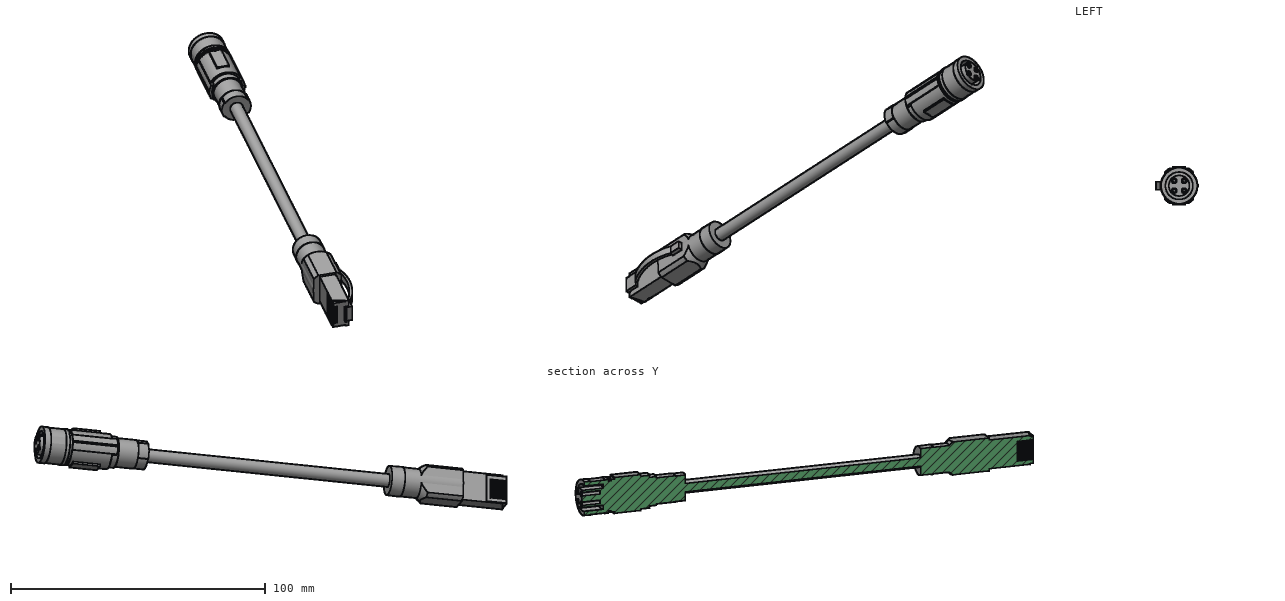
import cadquery as cq
import math

TOTAL_LENGTH = 193.0

NOSE_RADIUS = 4.05
PIN_HOLE_RADIUS = 0.6
PIN_MOUTH_RADIUS = 1.0
PIN_MOUTH_DEPTH = 0.5
PIN_CIRCLE_RADIUS = 2.75
PIN_HOLE_DEPTH = 8.0
PIN_COUNT = 4
KEYWAY_RADIUS = 0.6
KEYWAY_LENGTH = 8.0
COLLAR_START = 1.2
COLLAR_END = 11.5
COLLAR_RADIUS = 7.2
COLLAR_WAIST_RADIUS = 7.05
COLLAR_WAIST_START = 3.7
COLLAR_WAIST_END = 10.0
COLLAR_BORE_RADIUS = 5.4
COLLAR_BORE_DEPTH = 8.0
MARKER_HALF_WIDTH = 1.45
NECK_RADIUS = 6.5
SLEEVE_START = 12.6
SLEEVE_END = 29.0
SLEEVE_RADIUS = 7.0
SHOULDER_END = 31.8
SHOULDER_RADIUS = 6.2
TAIL_GRIP_START = 39.9
TAIL_END = 44.1
TAIL_RADIUS = 5.72
TAIL_END_RADIUS = 5.6
GRIP_RADIUS = 7.25
GRIP_END = 30.9
GRIP_HALF_WIDTH = 3.2
TAIL_GRIP_RADIUS = 5.95
SPINE_HALF_WIDTH = 0.3
SPINE_REACH = 7.5
LABEL_START = 14.0
LABEL_LENGTH = 11.2
LABEL_WIDTH = 4.9
LABEL_REACH = 14.79 / 2

CABLE_RADIUS = 2.6
BOOT_START = 143.8
BOOT_FLARE_END = 149.1
BOOT_FLARE_RADIUS = 5.95
BOOT_NECK_RADIUS = 5.8
HOOD_START = 155.8
HOOD_CONE_LENGTH = 2.6
HOOD_END = 173.0
HOOD_CORNER_RADIUS = 7.75
HOOD_HALF_DEPTH = 5.58
HOOD_HALF_HEIGHT = 6.8

PLUG_END = 191.6
PLUG_HALF_HEIGHT = 5.95
PLUG_FRONT_Y = -3.1
PLUG_BACK_Y = 3.4
FACE_RECESS_START = 183.3
FACE_RECESS_HALF_HEIGHT = 5.5
FACE_RECESS_DEPTH = 0.3
CONTACT_COUNT = 8
CONTACT_PITCH = 1.02
CONTACT_SLOT_WIDTH = 0.6
CONTACT_SLOT_START = 184.9
CONTACT_SLOT_DEPTH = 1.5
SIDE_STEP_DEPTH = 0.3
SIDE_STEP_FRONT_X = 189.9
SIDE_STEP_BACK_X = 191.2
SIDE_STEP_BACK_Y = 1.9

LATCH_WIDTH = 3.3
LATCH_HEAD_START = 186.8
LATCH_HEAD_END = 192.3
LATCH_HEAD_BACK_Y = 4.6
LATCH_TIP_WIDTH = 6.5
LATCH_TIP_FRONT_Y = 1.6
LATCH_TIP_BACK_Y = 2.2
ANCHOR_START = 159.5
ANCHOR_END = 164.6
ANCHOR_REACH = 7.4
STRAP_THICKNESS = 1.2
STRAP_PEAK_X = 173.5
STRAP_PEAK_Y = 9.2
STRAP_ROOT_X = 164.0
STRAP_TIP_X = 187.2


def cylinder(start, end, radius):
    return cq.Workplane("YZ", origin=(start, 0, 0)).circle(radius).extrude(end - start)


def block(x_range, y_range, z_range):
    sizes = [high - low for low, high in (x_range, y_range, z_range)]
    corner = (x_range[0], y_range[0], z_range[0])
    return cq.Workplane("XY", origin=corner).box(*sizes, centered=False)


def mid_block(x_range, y_range, width):
    """Block centred on the z = 0 plane."""
    return block(x_range, y_range, (-width / 2, width / 2))


def side_grips(start, end, radius, half_width):
    """Two raised cylindrical strips on the +Y and -Y sides."""
    band = mid_block((start, end), (-radius, radius), 2 * half_width)
    return cylinder(start, end, radius).intersect(band)


def make_collar():
    collar = cylinder(COLLAR_START, COLLAR_WAIST_START, COLLAR_RADIUS)
    collar = collar.union(cylinder(COLLAR_WAIST_START, COLLAR_WAIST_END, COLLAR_WAIST_RADIUS))
    collar = collar.union(cylinder(COLLAR_WAIST_END, COLLAR_END, COLLAR_RADIUS))
    bore = cylinder(COLLAR_START, COLLAR_START + COLLAR_BORE_DEPTH, COLLAR_BORE_RADIUS)
    marker_y = -math.sqrt(COLLAR_WAIST_RADIUS**2 - MARKER_HALF_WIDTH**2)
    marker = mid_block(
        (COLLAR_WAIST_START, COLLAR_WAIST_END), (-COLLAR_WAIST_RADIUS, marker_y), 2 * MARKER_HALF_WIDTH
    )
    return collar.cut(bore).cut(marker)


def pin_holes(radius, depth):
    """Four holes on the pin circle, sunk from the nose face at x = 0."""
    pattern = cq.Workplane("YZ").polarArray(PIN_CIRCLE_RADIUS, 45, 360, PIN_COUNT)
    return pattern.circle(radius).extrude(depth)


def make_nose():
    nose = cylinder(0, COLLAR_END, NOSE_RADIUS)
    nose = nose.cut(pin_holes(PIN_HOLE_RADIUS, PIN_HOLE_DEPTH))
    nose = nose.cut(pin_holes(PIN_MOUTH_RADIUS, PIN_MOUTH_DEPTH))
    keyway_offset = NOSE_RADIUS * math.sqrt(0.5)
    keyway = (
        cq.Workplane("YZ")
        .center(-keyway_offset, keyway_offset)
        .circle(KEYWAY_RADIUS)
        .extrude(KEYWAY_LENGTH)
    )
    return nose.cut(keyway)


def make_sleeve():
    sleeve = cylinder(COLLAR_END, SLEEVE_START, NECK_RADIUS)
    sleeve = sleeve.union(cylinder(SLEEVE_START, SLEEVE_END, SLEEVE_RADIUS))
    sleeve = sleeve.union(cylinder(SLEEVE_END, SHOULDER_END, SHOULDER_RADIUS))
    sleeve = sleeve.union(cylinder(SHOULDER_END, TAIL_GRIP_START, TAIL_RADIUS))
    sleeve = sleeve.union(cylinder(TAIL_GRIP_START, TAIL_END, TAIL_END_RADIUS))
    sleeve = sleeve.union(side_grips(SLEEVE_START, GRIP_END, GRIP_RADIUS, GRIP_HALF_WIDTH))
    sleeve = sleeve.union(side_grips(TAIL_GRIP_START, TAIL_END, TAIL_GRIP_RADIUS, GRIP_HALF_WIDTH))
    spines = mid_block((SLEEVE_START, GRIP_END), (-SPINE_REACH, SPINE_REACH), 2 * SPINE_HALF_WIDTH)
    labels = block(
        (LABEL_START, LABEL_START + LABEL_LENGTH),
        (-LABEL_WIDTH / 2, LABEL_WIDTH / 2),
        (-LABEL_REACH, LABEL_REACH),
    )
    return sleeve.union(spines).union(labels)


def make_boot():
    boot = cylinder(BOOT_START, HOOD_END, BOOT_NECK_RADIUS)
    flare = (
        cq.Workplane("XY")
        .moveTo(BOOT_START, 0)
        .lineTo(BOOT_START, BOOT_NECK_RADIUS)
        .lineTo(BOOT_FLARE_END, BOOT_FLARE_RADIUS)
        .lineTo(BOOT_FLARE_END, 0)
        .close()
        .revolve(360, (0, 0, 0), (1, 0, 0))
    )
    boot = boot.union(flare)
    cone_end = HOOD_START + HOOD_CONE_LENGTH
    hood = (
        cq.Workplane("XY")
        .moveTo(HOOD_START, 0)
        .lineTo(HOOD_START, BOOT_NECK_RADIUS)
        .lineTo(cone_end, HOOD_CORNER_RADIUS)
        .lineTo(HOOD_END, HOOD_CORNER_RADIUS)
        .lineTo(HOOD_END, 0)
        .close()
        .revolve(360, (0, 0, 0), (1, 0, 0))
    )
    envelope = mid_block((HOOD_START, HOOD_END), (-HOOD_HALF_DEPTH, HOOD_HALF_DEPTH), 2 * HOOD_HALF_HEIGHT)
    return boot.union(hood.intersect(envelope))


def make_plug():
    plug = mid_block((HOOD_END, PLUG_END), (PLUG_FRONT_Y, PLUG_BACK_Y), 2 * PLUG_HALF_HEIGHT)
    recess_y = PLUG_FRONT_Y + FACE_RECESS_DEPTH
    plug = plug.cut(
        mid_block((FACE_RECESS_START, PLUG_END), (PLUG_FRONT_Y, recess_y), 2 * FACE_RECESS_HALF_HEIGHT)
    )
    slot = mid_block(
        (CONTACT_SLOT_START, PLUG_END), (PLUG_FRONT_Y, recess_y + CONTACT_SLOT_DEPTH), CONTACT_SLOT_WIDTH
    )
    for index in range(CONTACT_COUNT):
        height = (index - (CONTACT_COUNT - 1) / 2) * CONTACT_PITCH
        plug = plug.cut(slot.translate((0, 0, height)))
    step_floor = PLUG_HALF_HEIGHT - SIDE_STEP_DEPTH
    side_step = (
        cq.Workplane("XY", origin=(0, 0, step_floor))
        .moveTo(SIDE_STEP_FRONT_X, PLUG_FRONT_Y)
        .lineTo(SIDE_STEP_BACK_X, SIDE_STEP_BACK_Y)
        .lineTo(PLUG_END, SIDE_STEP_BACK_Y)
        .lineTo(PLUG_END, PLUG_FRONT_Y)
        .close()
        .extrude(SIDE_STEP_DEPTH)
    )
    return plug.cut(side_step).cut(side_step.mirror("XY"))


def make_latch():
    anchor = mid_block((ANCHOR_START, ANCHOR_END), (0, ANCHOR_REACH), LATCH_WIDTH)
    head = mid_block(
        (LATCH_HEAD_START, LATCH_HEAD_END), (LATCH_TIP_BACK_Y, LATCH_HEAD_BACK_Y), LATCH_TIP_WIDTH
    )
    tip = mid_block((PLUG_END, TOTAL_LENGTH), (LATCH_TIP_FRONT_Y, LATCH_TIP_BACK_Y), LATCH_TIP_WIDTH)
    inner_peak_y = STRAP_PEAK_Y - STRAP_THICKNESS
    strap = (
        cq.Workplane("XY", origin=(0, 0, -LATCH_WIDTH / 2))
        .moveTo(STRAP_ROOT_X, ANCHOR_REACH)
        .threePointArc((STRAP_PEAK_X, STRAP_PEAK_Y), (STRAP_TIP_X, LATCH_HEAD_BACK_Y))
        .lineTo(STRAP_TIP_X, LATCH_HEAD_BACK_Y - STRAP_THICKNESS)
        .threePointArc((STRAP_PEAK_X, inner_peak_y), (STRAP_ROOT_X, ANCHOR_REACH - STRAP_THICKNESS))
        .close()
        .extrude(LATCH_WIDTH)
    )
    return anchor.union(head).union(tip).union(strap)


cable = cylinder(TAIL_END, BOOT_START, CABLE_RADIUS)
result = make_nose().union(make_collar()).union(make_sleeve()).union(cable)
result = result.union(make_boot()).union(make_plug()).union(make_latch())